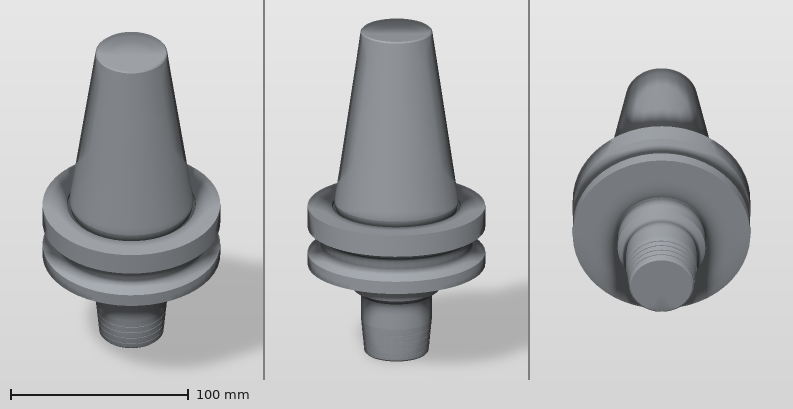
import cadquery as cq
import math

total_height = 191.8

taper_ratio = 7 / 24
gauge_radius = 35.0
gauge_z = 90.0
tip_chamfer = 0.8

flange_diameter = 100.0
flange_radius = flange_diameter / 2
flange_bottom = 52.2
flange_top = 87.0
groove_bottom = 59.5
groove_top = 74.5
groove_root_radius = 42.5
groove_flank_height = (flange_radius - groove_root_radius) * math.tan(math.radians(30))
groove_root_fillet = 1.2

relief_outer_radius = 36.3
relief_inner_radius = 34.0
relief_depth = 2.0

neck_diameter = 49.3
neck_radius = neck_diameter / 2
neck_bottom = 38.5
neck_chamfer = 0.5
nose_radius = 20.0
nose_top = 35.1

nose_taper_top = 20.0
nose_end_radius = 18.0
end_chamfer = 1.0
ring_count = 4
ring_pitch = 4.0
ring_width = 0.5
ring_depth = 0.4


def shank_radius(z):
    """Radius of the steep taper at height z."""
    return gauge_radius - (z - gauge_z) * taper_ratio / 2


def nose_taper_radius(z):
    """Radius of the tapered nose end at height z."""
    return nose_end_radius + (nose_radius - nose_end_radius) * z / nose_taper_top


def revolve_profile(points):
    """Turn a closed (radius, height) outline around the Z axis."""
    return cq.Workplane("XZ").polyline(points).close().revolve(360, (0, 0, 0), (0, 1, 0))


def make_shank():
    tip_z = total_height - tip_chamfer
    return revolve_profile([
        (0, flange_bottom),
        (relief_inner_radius, flange_bottom),
        (relief_inner_radius, flange_top - relief_depth),
        (gauge_radius, gauge_z),
        (shank_radius(tip_z), tip_z),
        (shank_radius(tip_z) - tip_chamfer, total_height),
        (0, total_height),
    ])


def make_flange():
    flange = cq.Workplane("XY", origin=(0, 0, flange_bottom)).circle(flange_radius)
    flange = flange.extrude(flange_top - flange_bottom)
    groove = revolve_profile([
        (flange_radius, groove_bottom),
        (groove_root_radius, groove_bottom + groove_flank_height),
        (groove_root_radius, groove_top - groove_flank_height),
        (flange_radius, groove_top),
    ])
    root_edges = cq.selectors.RadiusNthSelector(0)
    groove = groove.edges("%CIRCLE").edges(root_edges).fillet(groove_root_fillet)
    relief = cq.Workplane("XY", origin=(0, 0, flange_top)).circle(relief_outer_radius)
    relief = relief.circle(relief_inner_radius).extrude(-relief_depth)
    return flange.cut(groove).cut(relief)


def make_nose():
    return revolve_profile([
        (0, 0),
        (nose_taper_radius(end_chamfer) - end_chamfer, 0),
        (nose_taper_radius(end_chamfer), end_chamfer),
        (nose_radius, nose_taper_top),
        (nose_radius, nose_top),
        (neck_radius, neck_bottom),
        (neck_radius, flange_bottom - neck_chamfer),
        (neck_radius + neck_chamfer, flange_bottom),
        (0, flange_bottom),
    ])


def make_ring_groove(z):
    outer = nose_radius + ring_depth
    inner = nose_taper_radius(z) - ring_depth
    ring = cq.Workplane("XY", origin=(0, 0, z - ring_width / 2)).circle(outer).circle(inner)
    return ring.extrude(ring_width)


result = make_shank().union(make_flange()).union(make_nose())
for ring in range(1, ring_count + 1):
    result = result.cut(make_ring_groove(ring * ring_pitch))